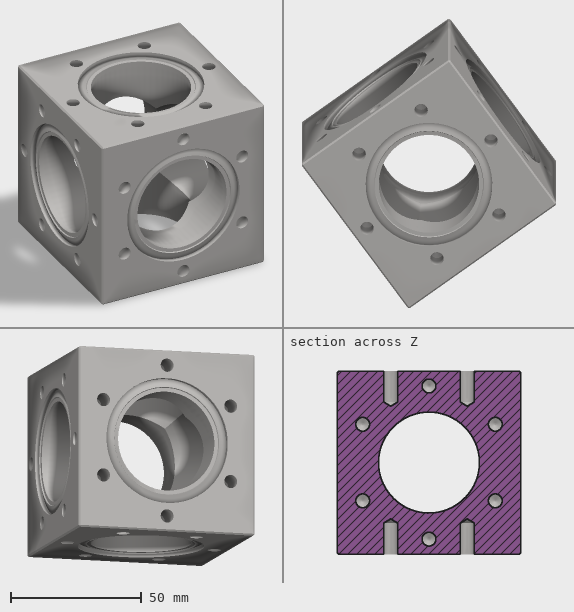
import cadquery as cq
import math

side = 70.2
edge_chamfer = 0.6

bore_diameter = 38.4
recess_diameter = 48.45
knife_diameter = 41.85
knife_base_diameter = 41.4
recess_depth = 2.0
knife_depth = 0.7
shelf_depth = 1.2

hole_count = 6
hole_diameter = 5.1
hole_circle_diameter = 58.55
hole_depth = 11.9
drill_point_angle = 118.0
half_pitch_angle = 360.0 / hole_count / 2

ports = [
    ((1, 0, 0), (0, 1, 0), half_pitch_angle),
    ((-1, 0, 0), (0, 1, 0), half_pitch_angle),
    ((0, 1, 0), (1, 0, 0), 0.0),
    ((0, -1, 0), (1, 0, 0), 0.0),
    ((0, 0, 1), (1, 0, 0), half_pitch_angle),
    ((0, 0, -1), (1, 0, 0), half_pitch_angle),
]


def turned_solid(profile):
    """Revolve (radius, height) points about the Z axis."""
    return cq.Workplane("XZ").polyline(profile).close().revolve(360, (0, 0, 0), (0, 1, 0))


def port_bore():
    """Recess, knife edge, shelf and bore to the cube's centre; cube face at height 0."""
    return turned_solid([
        (0, 0),
        (recess_diameter / 2, 0),
        (recess_diameter / 2, -recess_depth),
        (knife_diameter / 2, -knife_depth),
        (knife_base_diameter / 2, -shelf_depth),
        (bore_diameter / 2, -shelf_depth),
        (bore_diameter / 2, -side / 2),
        (0, -side / 2),
    ])


def screw_hole():
    """One drilled hole with a conical bottom; cube face at height 0."""
    point_height = hole_diameter / 2 / math.tan(math.radians(drill_point_angle / 2))
    return turned_solid([
        (0, 0),
        (hole_diameter / 2, 0),
        (hole_diameter / 2, -hole_depth),
        (0, -hole_depth - point_height),
    ])


def port_cutter(first_hole_angle):
    """Bore and ring of screw holes as one shape; cube face at height 0, outward +Z."""
    hole_ring = cq.Workplane("XY").polarArray(
        hole_circle_diameter / 2, first_hole_angle, 360, hole_count
    )
    return port_bore().union(hole_ring.eachpoint(screw_hole().val())).val()


result = cq.Workplane("XY").box(side, side, side).edges().chamfer(edge_chamfer)
for normal, ring_direction, first_hole_angle in ports:
    face_centre = cq.Vector(*normal) * (side / 2)
    face_plane = cq.Plane(face_centre, ring_direction, normal)
    result = result.cut(cq.Workplane(port_cutter(first_hole_angle).moved(face_plane.location)))